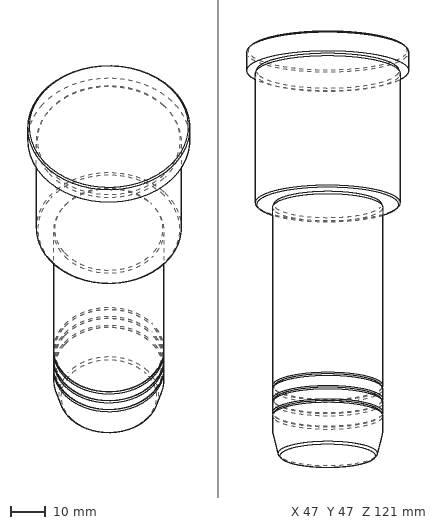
import cadquery as cq

total_height = 121.0
head_height = 6.0
body_height = 39.9
head_bottom = total_height - head_height
body_bottom = head_bottom - body_height

head_radius = 23.5
body_diameter = 42.0
body_radius = body_diameter / 2
pin_radius = 16.0

head_chamfer = 0.5
body_chamfer = 0.5
relief_depth = 0.4
relief_height = 0.8

lead_height = 7.3
lead_bottom_radius = 14.4
lead_bulge = 0.06
tip_chamfer_height = 0.7
tip_chamfer_width = 0.6

groove_count = 3
groove_pitch = 4.0
lowest_groove_bottom = 12.0
groove_width = 1.0
groove_depth = 0.4
groove_lower_flank = 0.6


def make_pin():
    """Revolve the half profile of the stepped pin about the Z axis."""
    lead_mid_radius = (pin_radius + lead_bottom_radius) / 2 + lead_bulge
    lead_mid_height = (lead_height + tip_chamfer_height) / 2
    return (
        cq.Workplane("XZ")
        .lineTo(lead_bottom_radius - tip_chamfer_width, 0)
        .lineTo(lead_bottom_radius, tip_chamfer_height)
        .threePointArc((lead_mid_radius, lead_mid_height), (pin_radius, lead_height))
        .lineTo(pin_radius, body_bottom - relief_height)
        .lineTo(pin_radius - relief_depth, body_bottom)
        .lineTo(body_radius - body_chamfer, body_bottom)
        .lineTo(body_radius, body_bottom + body_chamfer)
        .lineTo(body_radius, head_bottom - relief_height)
        .lineTo(body_radius - relief_depth, head_bottom)
        .lineTo(head_radius, head_bottom)
        .lineTo(head_radius, total_height - head_chamfer)
        .lineTo(head_radius - head_chamfer, total_height)
        .lineTo(0, total_height)
        .close()
        .revolve(360, (0, 0), (0, 1))
    )


def make_groove(bottom):
    """Ring that cuts one groove, its lower edge at the given height."""
    floor_radius = pin_radius - groove_depth
    outer_radius = pin_radius + groove_depth
    return (
        cq.Workplane("XZ")
        .moveTo(pin_radius, bottom)
        .lineTo(floor_radius, bottom + groove_lower_flank)
        .lineTo(pin_radius, bottom + groove_width)
        .lineTo(outer_radius, bottom + groove_width)
        .lineTo(outer_radius, bottom)
        .close()
        .revolve(360, (0, 0), (0, 1))
    )


result = make_pin()
for index in range(groove_count):
    result = result.cut(make_groove(lowest_groove_bottom + index * groove_pitch))